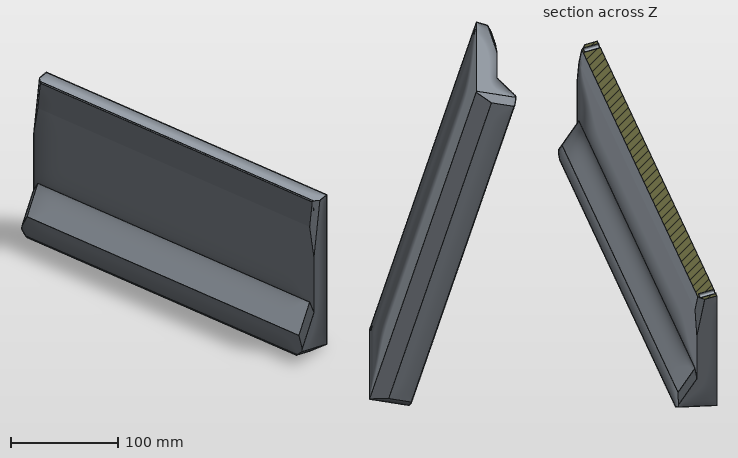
import cadquery as cq
import math

LENGTH = 324.8
DEPTH = 39.41
HEIGHT = 172.88

PLATE_THICKNESS = 20.2
TOP_THICKNESS = 16.15
SLOPE_BOTTOM_Z = 145.4
EDGE_BREAK = 1.0

RAMP_TOP_Z = 58.9
LIP_SHOULDER_DEPTH = 37.0
LIP_SHOULDER_Z = 30.3
LIP_NOSE_Z = 9.6
NOSE_BREAK_WIDTH = 0.6
NOSE_BREAK_HEIGHT = 1.7

FLAT_BASE_DEPTH = 16.8

SLOPE_BEVEL = 5.0
RAMP_BEVEL = 5.0
UNDERSIDE_BEVEL = 6.5

HOLE_DIAMETER = 4.5
HOLE_DEPTH = 15.3
HOLE_END_DISTANCE = 6.0
HOLE_Z = 163.2

CUTTER_SIZE = 3 * LENGTH

SLOPE_TOP = (TOP_THICKNESS, HEIGHT - EDGE_BREAK)
SLOPE_BOTTOM = (PLATE_THICKNESS, SLOPE_BOTTOM_Z)
RAMP_TOP = (PLATE_THICKNESS, RAMP_TOP_Z)
RAMP_BOTTOM = (LIP_SHOULDER_DEPTH, LIP_SHOULDER_Z)
NOSE = (DEPTH, LIP_NOSE_Z)
UNDERSIDE_FRONT = (DEPTH - NOSE_BREAK_WIDTH, LIP_NOSE_Z - NOSE_BREAK_HEIGHT)
UNDERSIDE_BACK = (FLAT_BASE_DEPTH, 0)


def underside_height(depth):
    """Height of the rising underside at a given depth."""
    rise = UNDERSIDE_FRONT[1] - UNDERSIDE_BACK[1]
    run = UNDERSIDE_FRONT[0] - UNDERSIDE_BACK[0]
    return UNDERSIDE_BACK[1] + (depth - UNDERSIDE_BACK[0]) * rise / run


def extrude_profile(corners):
    """Extrude a (depth, height) outline along X, centred on X = 0."""
    points = [(-depth, height) for depth, height in corners]
    return cq.Workplane("YZ").polyline(points).close().extrude(LENGTH / 2, both=True)


def bevel_ends(body, start, end, size):
    """Trim both ends at 45 degrees along the face from start to end.

    The outside of the part lies on the left of the walk from start to end,
    with depth pointing right and height pointing up.
    """
    run = end[0] - start[0]
    rise = end[1] - start[1]
    face_length = math.hypot(run, rise)
    outward_depth = -rise / face_length
    outward_height = run / face_length
    for side in (-1, 1):
        plane = cq.Plane(
            origin=(side * (LENGTH / 2 - size), -start[0], start[1]),
            xDir=(0, -run, rise),
            normal=(side, -outward_depth, outward_height),
        )
        cutter = cq.Workplane(plane).rect(CUTTER_SIZE, CUTTER_SIZE).extrude(CUTTER_SIZE)
        body = body.cut(cutter)
    return body


def make_plate():
    """Plate with a sloping upper front face and bevelled upper end edges."""
    plate = extrude_profile([
        (0, 0),
        (0, HEIGHT),
        (TOP_THICKNESS - EDGE_BREAK, HEIGHT),
        SLOPE_TOP,
        SLOPE_BOTTOM,
        (PLATE_THICKNESS, underside_height(PLATE_THICKNESS)),
        UNDERSIDE_BACK,
    ])
    return bevel_ends(plate, SLOPE_TOP, SLOPE_BOTTOM, SLOPE_BEVEL)


def make_lip():
    """Lip in front of the plate, with bevelled ends on its ramp."""
    lip = extrude_profile([
        RAMP_TOP,
        RAMP_BOTTOM,
        NOSE,
        UNDERSIDE_FRONT,
        (PLATE_THICKNESS, underside_height(PLATE_THICKNESS)),
    ])
    return bevel_ends(lip, RAMP_TOP, RAMP_BOTTOM, RAMP_BEVEL)


def drill_back_holes(body):
    """Drill one blind hole into the back face near each end."""
    hole_x = LENGTH / 2 - HOLE_END_DISTANCE
    holes = (
        cq.Workplane("XZ")
        .pushPoints([(-hole_x, HOLE_Z), (hole_x, HOLE_Z)])
        .circle(HOLE_DIAMETER / 2)
        .extrude(HOLE_DEPTH)
    )
    return body.cut(holes)


barrier = make_plate().union(make_lip())
barrier = bevel_ends(barrier, UNDERSIDE_FRONT, UNDERSIDE_BACK, UNDERSIDE_BEVEL)
result = drill_back_holes(barrier)